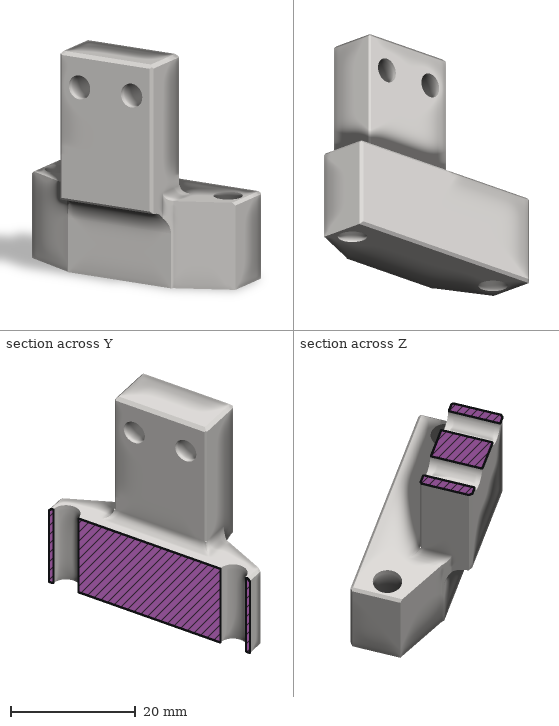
import cadquery as cq

WIDTH = 38.0
DEPTH = 17.3
HEIGHT = 37.9

BASE_HEIGHT = 14.48
BASE_DEPTH = 13.0
SIDE_DEPTH = 8.5
TAPER_END_HALF_WIDTH = 9.95
TAPER_END_DEPTH = 12.7

COLUMN_WIDTH = 17.4
COLUMN_BACK = 8.6
FLARE_RADIUS = 1.5
OVERHANG_HEIGHT = 13.1
OVERHANG_RADIUS = 4.0

EDGE_CHAMFER = 0.45
TOP_CHAMFER = 0.57
REAR_CORNER_CHAMFER = 0.3

BASE_HOLE_DIAMETER = 4.7
BASE_HOLE_SPACING = 31.55
BASE_HOLE_DEPTH = 5.35
COLUMN_HOLE_DIAMETER = 4.0
COLUMN_HOLE_SPACING = 9.73
COLUMN_HOLE_HEIGHT = 32.38

HALF_COLUMN = COLUMN_WIDTH / 2
FLARE_TOP = BASE_HEIGHT + FLARE_RADIUS


def block(width, back, front, bottom, top):
    """Box centred on X, between two depths and two heights."""
    return (
        cq.Workplane("XY")
        .box(width, front - back, top - bottom, centered=(True, False, False))
        .translate((0, -front, bottom))
    )


def footprint(height):
    """Plan outline: tapers, then 45-degree faces running into the column sides."""
    column_meet_depth = TAPER_END_DEPTH + TAPER_END_HALF_WIDTH - HALF_COLUMN
    half = [
        (WIDTH / 2, 0),
        (WIDTH / 2, -SIDE_DEPTH),
        (TAPER_END_HALF_WIDTH, -TAPER_END_DEPTH),
        (HALF_COLUMN, -column_meet_depth),
        (HALF_COLUMN, -DEPTH),
    ]
    mirrored = [(-x, y) for x, y in reversed(half)]
    return cq.Workplane("XY").polyline(half + mirrored).close().extrude(height)


def base():
    body = footprint(BASE_HEIGHT)
    body = body.faces(">Y").edges().chamfer(EDGE_CHAMFER)
    return body.faces("<X or >X").edges(">Z").chamfer(EDGE_CHAMFER)


def flare():
    """Concave skirt around the column with mitred rear corners."""
    across = (
        cq.Workplane("XZ")
        .moveTo(-HALF_COLUMN - FLARE_RADIUS, BASE_HEIGHT)
        .radiusArc((-HALF_COLUMN, FLARE_TOP), -FLARE_RADIUS)
        .lineTo(HALF_COLUMN, FLARE_TOP)
        .radiusArc((HALF_COLUMN + FLARE_RADIUS, BASE_HEIGHT), -FLARE_RADIUS)
        .close()
        .extrude(DEPTH)
    )
    along = (
        cq.Workplane("YZ")
        .moveTo(-DEPTH, BASE_HEIGHT)
        .lineTo(-DEPTH, FLARE_TOP)
        .lineTo(-COLUMN_BACK, FLARE_TOP)
        .radiusArc((-COLUMN_BACK + FLARE_RADIUS, BASE_HEIGHT), -FLARE_RADIUS)
        .close()
        .extrude(WIDTH / 2, both=True)
    )
    return across.intersect(along).intersect(footprint(FLARE_TOP))


def column():
    """Column above the flare has chamfered rear corners; below it they are square."""
    lower = block(COLUMN_WIDTH, COLUMN_BACK, DEPTH, 0, FLARE_TOP)
    upper = block(COLUMN_WIDTH, COLUMN_BACK, DEPTH, FLARE_TOP, HEIGHT)
    upper = upper.faces(">Z").edges().chamfer(TOP_CHAMFER)
    upper = upper.edges("|Z and >Y").chamfer(REAR_CORNER_CHAMFER)
    return lower.union(upper)


def front_relief():
    """Material removed in front of the base and below the overhang."""
    return (
        cq.Workplane("YZ")
        .moveTo(-BASE_DEPTH, 0)
        .lineTo(-BASE_DEPTH, OVERHANG_HEIGHT - OVERHANG_RADIUS)
        .radiusArc((-BASE_DEPTH - OVERHANG_RADIUS, OVERHANG_HEIGHT), -OVERHANG_RADIUS)
        .lineTo(-DEPTH, OVERHANG_HEIGHT)
        .lineTo(-DEPTH, 0)
        .close()
        .extrude(WIDTH / 2, both=True)
    )


def base_holes():
    return (
        cq.Workplane("XY")
        .pushPoints([(side * BASE_HOLE_SPACING / 2, -BASE_HOLE_DEPTH) for side in (-1, 1)])
        .circle(BASE_HOLE_DIAMETER / 2)
        .extrude(BASE_HEIGHT)
    )


def column_holes():
    return (
        cq.Workplane("XZ")
        .pushPoints([(side * COLUMN_HOLE_SPACING / 2, COLUMN_HOLE_HEIGHT) for side in (-1, 1)])
        .circle(COLUMN_HOLE_DIAMETER / 2)
        .extrude(DEPTH)
    )


result = base().union(flare()).union(column()).cut(front_relief())
result = result.faces("<Y").edges("not >Z").chamfer(EDGE_CHAMFER)
result = result.cut(base_holes()).cut(column_holes())